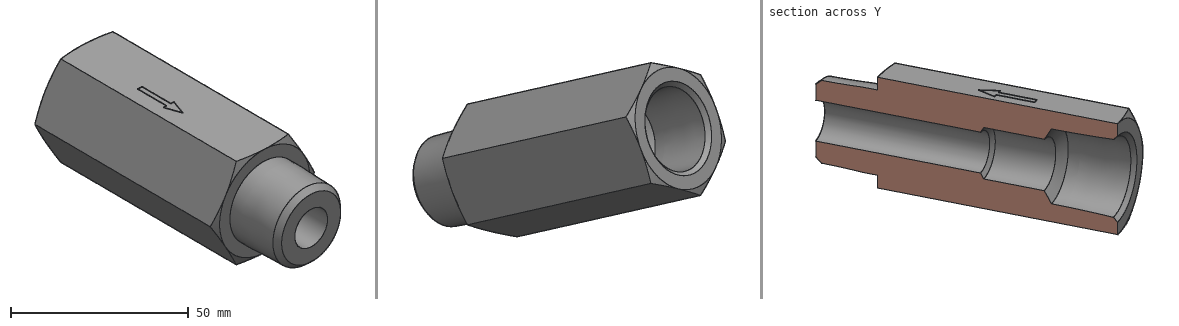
import cadquery as cq
import math

TOTAL_LENGTH = 92.7
HEX_LENGTH = 73.7
HEX_ACROSS_FLATS = 34.95
HEX_CHAMFER_ANGLE = 20.0
HEX_SIDES = 6

SPIGOT_DIAMETER = 27.0
SPIGOT_COLLAR_LENGTH = 4.4
SPIGOT_TIP_DIAMETER = 22.9
SPIGOT_TIP_CHAMFER_LENGTH = 1.9
PIPE_TAPER = 1 / 16

MOUTH_DIAMETER = 27.0
SOCKET_DIAMETER = 24.4
SOCKET_LENGTH = 15.3
SOCKET_RELIEF_LENGTH = 3.7
MOUTH_CHAMFER_ANGLE = 45.0
CHAMBER_DIAMETER = 16.0
CHAMBER_LENGTH = 18.5
PASSAGE_DIAMETER = 12.7
DRILL_POINT_ANGLE = 118.0

ARROW_TAIL_X = 26.9
ARROW_LENGTH = 17.5
ARROW_HEAD_LENGTH = 5.75
ARROW_HEAD_WIDTH = 4.1
ARROW_SHAFT_WIDTH = 1.7
ARROW_CENTER_Y = -4.0
ARROW_DEPTH = 0.2


def revolve_profile(points):
    """Turn (x, radius) points, closed along the X axis, into a solid of revolution."""
    return cq.Workplane("XY").polyline(points).close().revolve(360, (0, 0, 0), (1, 0, 0))


def cone_length(large_diameter, small_diameter, angle_to_axis):
    """Axial length of a cone between two diameters."""
    return (large_diameter - small_diameter) / 2 / math.tan(math.radians(angle_to_axis))


def make_hex_body():
    """Hexagonal bar with flats facing +Z and -Z and its corners turned off at both ends."""
    corner_diameter = HEX_ACROSS_FLATS / math.cos(math.pi / HEX_SIDES)
    bar = cq.Workplane("YZ").polygon(HEX_SIDES, corner_diameter).extrude(HEX_LENGTH)
    corner_height = (corner_diameter - HEX_ACROSS_FLATS) / 2
    chamfer_length = corner_height * math.tan(math.radians(HEX_CHAMFER_ANGLE))
    envelope = revolve_profile([
        (0, 0),
        (0, HEX_ACROSS_FLATS / 2),
        (chamfer_length, corner_diameter / 2),
        (HEX_LENGTH - chamfer_length, corner_diameter / 2),
        (HEX_LENGTH, HEX_ACROSS_FLATS / 2),
        (HEX_LENGTH, 0),
    ])
    return bar.intersect(envelope)


def make_spigot():
    """Male end: plain collar, tapered length and tip chamfer."""
    taper_start = HEX_LENGTH + SPIGOT_COLLAR_LENGTH
    taper_end = TOTAL_LENGTH - SPIGOT_TIP_CHAMFER_LENGTH
    taper_end_diameter = SPIGOT_DIAMETER - PIPE_TAPER * (taper_end - taper_start)
    return revolve_profile([
        (HEX_LENGTH, 0),
        (HEX_LENGTH, SPIGOT_DIAMETER / 2),
        (taper_start, SPIGOT_DIAMETER / 2),
        (taper_end, taper_end_diameter / 2),
        (TOTAL_LENGTH, SPIGOT_TIP_DIAMETER / 2),
        (TOTAL_LENGTH, 0),
    ])


def make_bore():
    """Chamfered tapered socket with a straight relief, drilled chamber and through passage."""
    point_half_angle = DRILL_POINT_ANGLE / 2
    socket_start = cone_length(MOUTH_DIAMETER, SOCKET_DIAMETER, MOUTH_CHAMFER_ANGLE)
    socket_end = socket_start + SOCKET_LENGTH
    socket_end_diameter = SOCKET_DIAMETER - PIPE_TAPER * SOCKET_LENGTH
    relief_end = socket_end + SOCKET_RELIEF_LENGTH
    chamber_start = relief_end + cone_length(socket_end_diameter, CHAMBER_DIAMETER, point_half_angle)
    chamber_end = chamber_start + CHAMBER_LENGTH
    passage_start = chamber_end + cone_length(CHAMBER_DIAMETER, PASSAGE_DIAMETER, point_half_angle)
    return revolve_profile([
        (0, 0),
        (0, MOUTH_DIAMETER / 2),
        (socket_start, SOCKET_DIAMETER / 2),
        (socket_end, socket_end_diameter / 2),
        (relief_end, socket_end_diameter / 2),
        (chamber_start, CHAMBER_DIAMETER / 2),
        (chamber_end, CHAMBER_DIAMETER / 2),
        (passage_start, PASSAGE_DIAMETER / 2),
        (TOTAL_LENGTH, PASSAGE_DIAMETER / 2),
        (TOTAL_LENGTH, 0),
    ])


def make_arrow():
    """Engraving tool for the arrow that points along +X."""
    tip_x = ARROW_TAIL_X + ARROW_LENGTH
    head_x = tip_x - ARROW_HEAD_LENGTH
    floor_z = HEX_ACROSS_FLATS / 2 - ARROW_DEPTH
    half_shaft = ARROW_SHAFT_WIDTH / 2
    half_head = ARROW_HEAD_WIDTH / 2
    outline = [
        (ARROW_TAIL_X, half_shaft),
        (head_x, half_shaft),
        (head_x, half_head),
        (tip_x, 0),
        (head_x, -half_head),
        (head_x, -half_shaft),
        (ARROW_TAIL_X, -half_shaft),
    ]
    floor = cq.Workplane("XY", origin=(0, ARROW_CENTER_Y, floor_z))
    return floor.polyline(outline).close().extrude(2 * ARROW_DEPTH)


result = make_hex_body().union(make_spigot()).cut(make_bore()).cut(make_arrow())